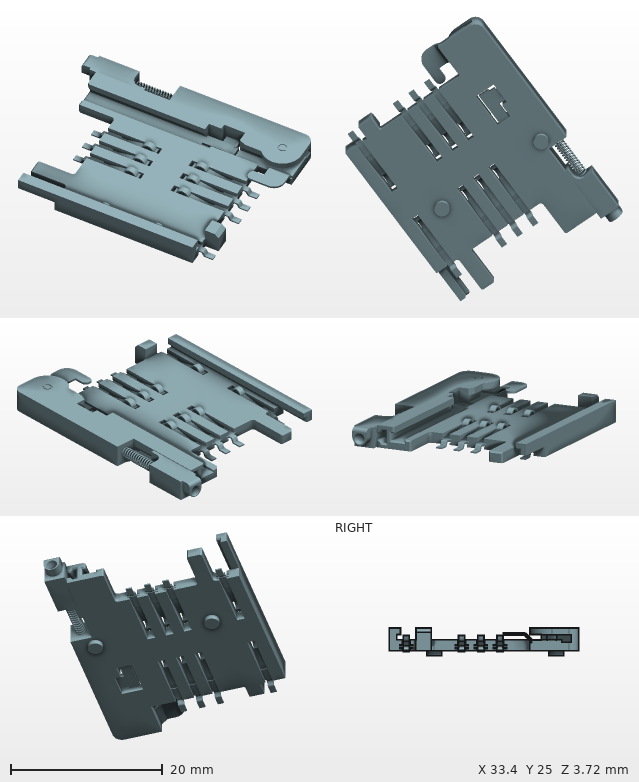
import cadquery as cq
import math


total_length = 33.4
total_width = 25.0
top_z = 3.05
deck_z = 1.47
groove_z = 1.15
lip_z = 2.15
lead_in = 0.2
corner_radius = 0.47
stop_corner_radius = 0.3
overrun = 0.35

mouth_x = 2.4
floor_left = 7.85
floor_right = 28.42
front_wall_thickness = 1.0
front_lip_y = 1.5
arm_y = (3.5, 5.58)
rail_arm_y = 17.07
end_stop_right = 30.45
end_stop_bevel = 0.57

rail_lip_y = 19.6
rail_web_y = 20.05
rail_back_y = 22.08
groove_y = 18.1
groove_right = 21.38
ledge_y = 18.57
block_left = 13.35

pivot_x, pivot_y = 30.53, 21.45
lobe_radius = total_length - pivot_x
back_corner_radius = 1.3

window_left = 19.95
window_step_x = 21.8
window_right = 24.9
window_step_y = 20.7
window_back_y = 21.5
window_bevel_x = 25.9
window_bevel_y = 20.05

contact_rows = (2.25, 9.55, 12.1, 14.63)
contact_width = 0.85
contact_thickness = 0.2
slot_width = 1.05
slot_end = 15.9
wing_width = 1.75
wing_z = (0.4, 0.7)
wing_slot_z = (0.3, 0.85)
wing_end = 9.82
mirror_x = (floor_left + floor_right) / 2

slider_x = (1.37, 7.38)
slider_y = (rail_back_y, 24.88)
slider_z = (0.1, 2.95)
slider_foot_end = 9.5
slider_foot_y = 22.5
slider_hollow_radius = 1.15
tip_radius = 1.07
tip_y = 23.48
tip_z = 1.75
tip_round = 0.5
dish_radius = 0.77
dish_z = 1.55
spring_z = 1.55
spring_radius = 0.65
spring_wire_radius = 0.1
spring_pitch = 0.4
spring_anchor = 0.2

channel_y = (20.8, 21.35, 21.68)
channel_z = (0.65, 2.37)
channel_mouth_z = (1.07, 1.95)
channel_section = [
    (rail_back_y, channel_mouth_z[1]),
    (channel_y[2], channel_mouth_z[1]),
    (channel_y[1], channel_z[1]),
    (channel_y[0], channel_z[1]),
    (channel_y[0], channel_z[0]),
    (channel_y[1], channel_z[0]),
    (channel_y[2], channel_mouth_z[0]),
    (rail_back_y, channel_mouth_z[0]),
]
tongue_start = 4.0

lever_cavity_y = 24.05
lever_thickness = 0.3
lever_left = 30.35
lever_z = 2.07
lever_back_y = 22.78
lever_bend_y = (18.9, 17.97)
lever_bend_offset = 0.15
lever_bend_radius = 0.57
lever_tip_y = 15.05
finger_left = floor_right
finger_back_y = 16.53
finger_corner = 1.65
finger_tip_corner = 0.67
pivot_ring = (0.47, 0.65)
pivot_ring_depth = 0.1
pivot_gap = 0.4

latch_y = (18.9, 20.37)
latch_bend_x = (23.0, 23.98)
latch_end = 24.58
latch_z = (0.4, groove_z)
latch_drop = 0.15
latch_tab_x = (22.18, latch_bend_x[1])
latch_nub = (0.3, 0.8)

peg_x = 14.9
peg_rows = (5.95, 22.05)
peg_radius = 1.0
peg_length = 0.67


def box(x, y, z):
    """Axis-aligned block from three (low, high) pairs."""
    size = [high - low for low, high in (x, y, z)]
    return cq.Workplane("XY").box(*size, centered=False).translate((x[0], y[0], z[0]))


def plate(points, z):
    """Polygon in XY raised between two heights."""
    return cq.Workplane("XY").workplane(offset=z[0]).polyline(points).close().extrude(z[1] - z[0])


def make_bar(section, x):
    """YZ polygon run along X."""
    return cq.Workplane("YZ").workplane(offset=x[0]).polyline(section).close().extrude(x[1] - x[0])


def flare(section):
    """Lead-in cutter that widens a YZ section towards the card mouth."""
    return (
        cq.Workplane("YZ").workplane(offset=mouth_x)
        .polyline(section).close().offset2D(lead_in, "intersection")
        .extrude(lead_in, taper=45)
    )


def make_floor():
    outline = [
        (floor_left, 0),
        (floor_right, 0),
        (floor_right, arm_y[0]),
        (end_stop_right, arm_y[0]),
        (end_stop_right, arm_y[1]),
        (floor_right, arm_y[1]),
        (floor_right, rail_back_y),
        (mouth_x, rail_back_y),
        (mouth_x, rail_arm_y),
        (floor_left, rail_arm_y),
        (floor_left, arm_y[1]),
        (mouth_x, arm_y[1]),
        (mouth_x, arm_y[0]),
        (floor_left, arm_y[0]),
    ]
    floor = plate(outline, (0, deck_z))
    for y in (rail_arm_y, *arm_y):
        corner = cq.NearestToPointSelector((floor_left, y, deck_z / 2))
        floor = floor.edges(corner).fillet(corner_radius)
    for y in arm_y:
        corner = cq.NearestToPointSelector((floor_right, y, deck_z / 2))
        floor = floor.edges(corner).fillet(stop_corner_radius)
    rail_arm_corner = cq.NearestToPointSelector((mouth_x, rail_arm_y, deck_z / 2))
    floor = floor.edges(rail_arm_corner).chamfer(lead_in)
    margin = 0.05
    front_arm_tip = cq.selectors.BoxSelector(
        (mouth_x - margin, arm_y[0] - margin, margin),
        (mouth_x + margin, arm_y[1] + margin, deck_z + margin),
    )
    return floor.edges(front_arm_tip).chamfer(lead_in)


def make_front_wall():
    section = [
        (0, deck_z),
        (front_wall_thickness, deck_z),
        (front_wall_thickness, lip_z),
        (front_lip_y, lip_z),
        (front_lip_y, top_z),
        (0, top_z),
    ]
    undercut = [
        (front_wall_thickness, deck_z),
        (front_lip_y + lead_in, deck_z),
        (front_lip_y + lead_in, lip_z),
        (front_wall_thickness, lip_z),
    ]
    return make_bar(section, (mouth_x, floor_right)).cut(flare(undercut))


def make_end_stop():
    stop = box((floor_right, end_stop_right), arm_y, (0, top_z))
    return stop.edges(">X and >Z").chamfer(end_stop_bevel)


def make_rail_body():
    """Rail, spring block and round lobe as one full-height plate."""
    lobe_reach = pivot_y - rail_lip_y
    lobe_start = pivot_x - math.sqrt(lobe_radius**2 - lobe_reach**2)
    return (
        cq.Workplane("XY")
        .moveTo(mouth_x, rail_back_y)
        .lineTo(mouth_x, rail_lip_y)
        .lineTo(window_left, rail_lip_y)
        .lineTo(window_left, window_step_y)
        .lineTo(window_step_x, window_step_y)
        .lineTo(window_step_x, window_back_y)
        .lineTo(window_right, window_back_y)
        .lineTo(window_right, window_bevel_y)
        .lineTo(window_bevel_x, rail_lip_y)
        .lineTo(lobe_start, rail_lip_y)
        .threePointArc((pivot_x, pivot_y - lobe_radius), (total_length, pivot_y))
        .lineTo(total_length, total_width - back_corner_radius)
        .radiusArc((total_length - back_corner_radius, total_width), -back_corner_radius)
        .lineTo(block_left, total_width)
        .lineTo(block_left, rail_back_y)
        .close()
        .extrude(top_z)
    )


def cut_rail(body):
    """Card-side groove, lever cavity, slider channel and latch window."""
    past_end = total_length + overrun
    body = body.cut(box((mouth_x, groove_right), (groove_y, rail_web_y), (groove_z, lip_z)))
    body = body.cut(box((groove_right, past_end), (ledge_y, rail_web_y), (groove_z, lip_z)))
    body = body.cut(box((floor_right, past_end), (ledge_y, lever_cavity_y), (groove_z, lip_z)))
    window = [
        (window_left, ledge_y),
        (window_right, ledge_y),
        (window_right, window_back_y),
        (window_step_x, window_back_y),
        (window_step_x, window_step_y),
        (window_left, window_step_y),
    ]
    body = body.cut(plate(window, (-overrun, top_z + overrun)))
    body = body.cut(make_bar(channel_section, (mouth_x, block_left)))
    above_top = top_z + overrun
    past_arm = rail_arm_y - overrun
    mouth_section = [
        (rail_web_y, groove_z),
        (groove_y, groove_z),
        (groove_y, deck_z),
        (past_arm, deck_z),
        (past_arm, above_top),
        (rail_lip_y, above_top),
        (rail_lip_y, lip_z),
        (rail_web_y, lip_z),
    ]
    return body.cut(flare(mouth_section)).cut(flare(channel_section))


def make_latch():
    section = [
        (window_left, latch_z[0]),
        (latch_end, latch_z[0]),
        (latch_end, latch_z[1] - latch_drop),
        (latch_bend_x[1], latch_z[1] - latch_drop),
        (latch_bend_x[0], latch_z[1]),
        (window_left, latch_z[1]),
    ]
    latch = (
        cq.Workplane("XZ").workplane(offset=-latch_y[1])
        .polyline(section).close().extrude(latch_y[1] - latch_y[0])
    )
    tab_z = (latch_z[0], latch_z[1] - latch_drop)
    tab = box(latch_tab_x, (latch_y[1], window_back_y), tab_z)
    nub_x = (latch_tab_x[1], latch_tab_x[1] + latch_nub[0])
    nub = box(nub_x, (latch_y[1] - latch_drop, latch_y[1] + latch_nub[1]), latch_z)
    return latch.union(tab).union(nub)


def make_lever():
    """Flat pivot plate, sloped neck and raised finger reaching to -X."""
    lever_x = (lever_left, total_length)
    plate_z = (groove_z, groove_z + lever_thickness)
    pivot_plate = box(lever_x, (lever_bend_y[0], lever_back_y), plate_z)
    neck_front_y = lever_bend_y[1] - 2 * lever_thickness
    neck_section = [
        (lever_bend_y[0], groove_z),
        (lever_bend_y[0], groove_z + lever_thickness),
        (lever_bend_y[1], lever_z + lever_thickness),
        (neck_front_y, lever_z + lever_thickness),
        (neck_front_y, lever_z),
        (lever_bend_y[1] - lever_bend_offset, lever_z),
        (lever_bend_y[0] - lever_bend_offset, groove_z),
    ]
    neck = make_bar(neck_section, lever_x)
    bend_point = (sum(lever_x) / 2, lever_bend_y[1], lever_z + lever_thickness)
    bend = cq.NearestToPointSelector(bend_point)
    neck = neck.edges(bend).fillet(lever_bend_radius)
    finger_outline = [
        (lever_left, neck_front_y),
        (lever_left, finger_back_y),
        (finger_left, finger_back_y),
        (finger_left, lever_tip_y),
        (total_length, lever_tip_y),
        (total_length, neck_front_y),
    ]
    finger = plate(finger_outline, (lever_z, lever_z + lever_thickness))
    finger = finger.edges("|Z and >X and <Y").fillet(finger_corner)
    finger = finger.edges("|Z and <X").fillet(finger_tip_corner)
    pin = cq.Workplane("XY").center(pivot_x, pivot_y).circle(pivot_ring[1]).extrude(lip_z - groove_z)
    return pivot_plate.union(neck).union(finger).union(pin.translate((0, 0, groove_z)))


def make_pivot_mark():
    """C-shaped groove around the pin head, open towards +X."""
    ring = (
        cq.Workplane("XY").workplane(offset=top_z - pivot_ring_depth)
        .center(pivot_x, pivot_y).circle(pivot_ring[1]).circle(pivot_ring[0]).extrude(overrun)
    )
    gap_y = (pivot_y - pivot_gap / 2, pivot_y + pivot_gap / 2)
    return ring.cut(box((pivot_x, total_length), gap_y, (0, top_z + overrun)))


def make_contact():
    """Left-hand contact centred on Y = 0: tail, step, sprung strip and dome."""
    t = contact_thickness
    tail_end = 5.78
    tail_z = -0.1
    step_foot, step_top = 6.9, 7.25
    step_radius = 0.27
    rise_start, rise_end = 10.7, 13.25
    dome_end, tip_end = 15.15, 15.45
    strip_z = 0.5
    dome_foot_z = 1.07
    dome_top = (14.23, 2.05)
    profile = (
        cq.Workplane("XZ").workplane(offset=-contact_width / 2)
        .moveTo(tail_end, tail_z)
        .lineTo(step_foot + t, tail_z)
        .lineTo(step_top + t, strip_z)
        .lineTo(rise_start, strip_z)
        .lineTo(rise_end + t, dome_foot_z)
        .threePointArc((dome_top[0], dome_top[1] - t), (dome_end - t, dome_foot_z))
        .lineTo(tip_end, dome_foot_z)
        .lineTo(tip_end, dome_foot_z + t)
        .lineTo(dome_end, dome_foot_z + t)
        .threePointArc(dome_top, (rise_end, dome_foot_z + t))
        .lineTo(rise_start, strip_z + t)
        .lineTo(step_top, strip_z + t)
        .lineTo(step_foot, tail_z + t)
        .lineTo(tail_end, tail_z + t)
        .close()
        .extrude(contact_width)
    )
    for x, z in ((step_top, strip_z + t), (step_foot + t, tail_z)):
        profile = profile.edges(cq.NearestToPointSelector((x, 0, z))).fillet(step_radius)
    wing_overlap = 0.07
    wing_y = (-wing_width / 2, wing_width / 2)
    wings = box((floor_left, wing_end + wing_overlap), wing_y, wing_z)
    return profile.union(wings)


def make_contact_slot():
    slot = box((floor_left - overrun, slot_end), (-slot_width / 2, slot_width / 2), (-overrun, top_z))
    wing_y = (-wing_width / 2, wing_width / 2)
    wing_slot = box((floor_left - overrun, wing_end), wing_y, wing_slot_z)
    return slot.union(wing_slot)


def both_sides(shape, y):
    """Copy of a left-hand contact shape moved to a row, with its mirror image."""
    left = shape.translate((0, y, 0))
    return left, left.mirror("YZ", (mirror_x, 0, 0))


def make_slider():
    hollow_y = slider_foot_y + slider_hollow_radius
    hollow_x = slider_x[1] + slider_hollow_radius
    body = (
        cq.Workplane("XY").workplane(offset=slider_z[0])
        .moveTo(slider_x[0], slider_y[0])
        .lineTo(slider_foot_end, slider_y[0])
        .lineTo(slider_foot_end, slider_foot_y)
        .lineTo(hollow_x, slider_foot_y)
        .radiusArc((slider_x[1], hollow_y), slider_hollow_radius)
        .lineTo(slider_x[1], slider_y[1])
        .lineTo(slider_x[0], slider_y[1])
        .close()
        .extrude(slider_z[1] - slider_z[0])
    )
    tip = (
        cq.Workplane("YZ")
        .moveTo(tip_y - tip_radius, slider_z[1])
        .lineTo(tip_y - tip_radius, tip_z)
        .threePointArc((tip_y, tip_z - tip_radius), (tip_y + tip_radius, tip_z))
        .lineTo(tip_y + tip_radius, slider_z[1])
        .close()
        .extrude(slider_x[0])
    )
    tip = tip.edges("<X and >Z").fillet(tip_round)
    dish = cq.Workplane("YZ").sphere(dish_radius).translate((0, tip_y, dish_z))
    tongue = make_bar(channel_section, (tongue_start, slider_foot_end))
    return body.union(tip).cut(dish).union(tongue)


def make_spring():
    start = slider_x[1] - spring_anchor
    length = block_left + spring_anchor - start
    helix = cq.Wire.makeHelix(spring_pitch, length, spring_radius)
    coil = (
        cq.Workplane("XZ").center(spring_radius, 0).circle(spring_wire_radius)
        .sweep(cq.Workplane(helix), isFrenet=True)
    )
    return coil.rotate((0, 0, 0), (0, 1, 0), 90).translate((start, tip_y, spring_z))


lever_ledge = box((floor_right, total_length), (ledge_y, pivot_y), (0, groove_z))
base = make_floor().union(make_front_wall()).union(make_end_stop()).union(lever_ledge)
base = cut_rail(base.union(make_rail_body()))
base = base.union(make_latch())
for row in peg_rows:
    peg = cq.Workplane("XY").center(peg_x, row).circle(peg_radius).extrude(-peg_length)
    base = base.union(peg)

for row in contact_rows:
    for slot in both_sides(make_contact_slot(), row):
        base = base.cut(slot)
    for contact in both_sides(make_contact(), row):
        base = base.union(contact)

base = base.union(make_lever()).cut(make_pivot_mark())
result = base.union(make_slider()).union(make_spring())